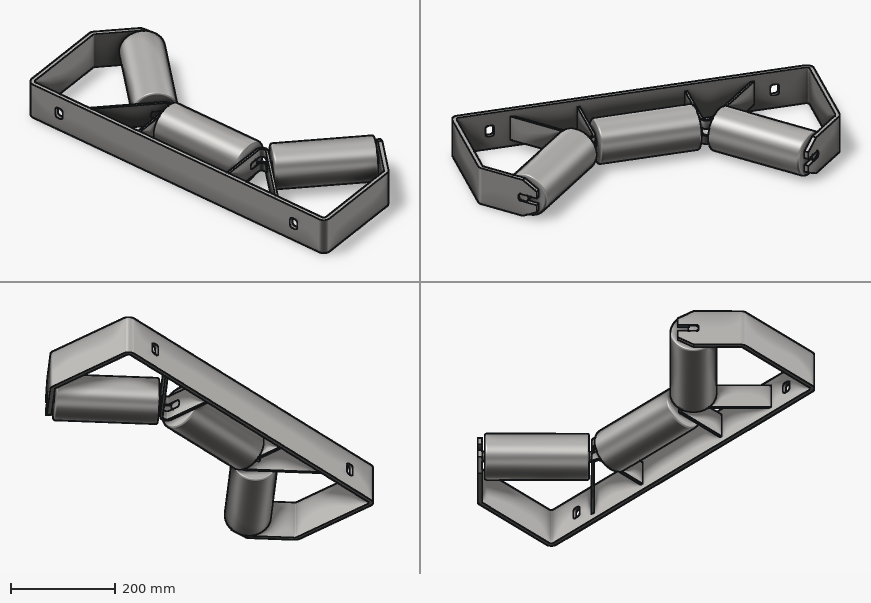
import cadquery as cq
import math


ROLLER_LENGTH = 200.0
ROLLER_DIAMETER = 89.0
ROLLER_EDGE_RADIUS = 4.0
SHAFT_DIAMETER = 20.0
FLAT_WIDTH = 15.0
ROLLER_GAP = 4.7
SHAFT_OVERHANG = 10.0
SLOT_REACH = 72.0
TILT = 45
LEVEL_ROLLER_Y = 101.0
SIDE_ROLLER_X = 212.0
SIDE_ROLLER_Y = 188.0

FRAME_LENGTH = 720.0
FRAME_DEPTH = 289.5
FRAME_WIDTH = 80.0
FRAME_THICKNESS = 9.0
FRAME_BEND_RADIUS = 14.5
TIP_CHAMFER_ALONG = 30.0
TIP_CHAMFER_ACROSS = 17.0

HOLE_LENGTH = 24.0
HOLE_WIDTH = 17.0
HOLE_CORNER_RADIUS = 6.0
HOLE_X = 284.0

BRACKET_WIDTH = 52.0
BRACKET_THICKNESS = 5.0
BRACKET_BEND_RADIUS = 13.0

PLATE_DISTANCE = ROLLER_LENGTH / 2 + ROLLER_GAP
SIN_TILT = math.sin(math.radians(TILT))
SIDE_ROLLER_RISE = SIDE_ROLLER_Y + SIDE_ROLLER_X
ARM_RISE = SIDE_ROLLER_RISE + (PLATE_DISTANCE + FRAME_THICKNESS) / SIN_TILT
BRACKET_RISE = SIDE_ROLLER_RISE - PLATE_DISTANCE / SIN_TILT


def mirrored(shape):
    """Copy of a left-hand shape on the right-hand side."""
    return shape.mirror("YZ")


def place_on_left(shape):
    """Move a shape from the origin, axis along X, to the left side roller."""
    return shape.rotate((0, 0, 0), (0, 0, 1), -TILT).translate((-SIDE_ROLLER_X, SIDE_ROLLER_Y, 0))


def place_level(shape):
    """Move a shape from the origin to the level roller."""
    return shape.translate((0, LEVEL_ROLLER_Y, 0))


def bent_strip(outline, bend_radius, thickness, width):
    """Closed ring of bent strip, centred on Z = 0, with its outer face on the outline."""
    block = cq.Workplane("XY").workplane(offset=-width / 2).polyline(outline).close().extrude(width)
    return block.edges("|Z").fillet(bend_radius).faces("|Z").shell(-thickness)


def shaft_bar(length):
    """Bar with the flatted shaft section, along X."""
    bar = cq.Workplane("YZ").cylinder(length, SHAFT_DIAMETER / 2)
    return bar.intersect(cq.Workplane("XY").box(length, SHAFT_DIAMETER, FLAT_WIDTH))


def make_roller():
    """Roller with its shaft, along X; the shaft ends are flatted where plates carry them."""
    barrel = cq.Workplane("YZ").cylinder(ROLLER_LENGTH, ROLLER_DIAMETER / 2)
    barrel = barrel.faces("<X or >X").edges().fillet(ROLLER_EDGE_RADIUS)
    round_shaft = cq.Workplane("YZ").cylinder(2 * PLATE_DISTANCE, SHAFT_DIAMETER / 2)
    return barrel.union(round_shaft).union(shaft_bar(ROLLER_LENGTH + 2 * SHAFT_OVERHANG))


def slot_cutter():
    """Shaft seat at both roller ends, open toward +Y."""
    length = 2 * (PLATE_DISTANCE + BRACKET_BEND_RADIUS)
    channel = cq.Workplane("XY").box(length, SLOT_REACH, FLAT_WIDTH, centered=(True, False, True))
    return shaft_bar(length).union(channel)


def make_strip_frame():
    """Base, uprights and arms, cut from a house-shaped ring whose roof is left open."""
    half = FRAME_LENGTH / 2
    eave = ARM_RISE - half
    house = [(-half, 0), (half, 0), (half, eave), (0, ARM_RISE), (-half, eave)]
    frame = bent_strip(house, FRAME_BEND_RADIUS, FRAME_THICKNESS, FRAME_WIDTH)

    tip_x = FRAME_DEPTH - ARM_RISE
    notch_y = FRAME_DEPTH + tip_x
    far_y = notch_y + FRAME_LENGTH
    opening = [(0, notch_y), (FRAME_LENGTH, far_y), (-FRAME_LENGTH, far_y)]
    frame = frame.cut(cq.Workplane("XY").polyline(opening).close().extrude(FRAME_WIDTH, both=True))

    tip_plane = cq.Plane(origin=(tip_x, FRAME_DEPTH, 0), xDir=(1, 1, 0), normal=(1, -1, 0))
    edge = FRAME_WIDTH / 2
    for side in (-1, 1):
        corner = [
            (0, side * edge),
            (-TIP_CHAMFER_ALONG, side * edge),
            (0, side * (edge - TIP_CHAMFER_ACROSS)),
        ]
        chamfer = cq.Workplane(tip_plane).polyline(corner).close().extrude(FRAME_THICKNESS)
        frame = frame.cut(chamfer).cut(mirrored(chamfer))

    holes = (
        cq.Workplane("XZ")
        .pushPoints([(-HOLE_X, 0), (HOLE_X, 0)])
        .rect(HOLE_WIDTH, HOLE_LENGTH)
        .extrude(-FRAME_THICKNESS)
        .edges("|Y")
        .fillet(HOLE_CORNER_RADIUS)
    )
    return frame.cut(holes)


def make_bracket():
    """Left bracket: a leg under the side roller bent into an upright leg at the level roller."""
    base_y = -FRAME_DEPTH
    upright_x = -PLATE_DISTANCE
    triangle = [
        (base_y - BRACKET_RISE, base_y),
        (upright_x, base_y),
        (upright_x, upright_x + BRACKET_RISE),
    ]
    bracket = bent_strip(triangle, BRACKET_BEND_RADIUS, BRACKET_THICKNESS, BRACKET_WIDTH)
    above_base = cq.Workplane("XY").box(FRAME_LENGTH, FRAME_DEPTH, FRAME_WIDTH, centered=(True, False, True))
    return bracket.intersect(above_base.translate((0, FRAME_THICKNESS, 0)))


def make_frame():
    """Welded frame: slotted strip and brackets, with the level roller fixed in it."""
    bracket = make_bracket()
    frame = make_strip_frame().union(bracket).union(mirrored(bracket))
    side_slots = place_on_left(slot_cutter())
    frame = frame.cut(side_slots).cut(mirrored(side_slots)).cut(place_level(slot_cutter()))
    return frame.union(place_level(make_roller()))


def make_side_rollers():
    """The two inclined rollers, left and right."""
    left = place_on_left(make_roller())
    return [left, mirrored(left)]


frame = make_frame()
side_rollers = make_side_rollers()
side_roller_solids = [roller.solids().val() for roller in side_rollers]
result = cq.Compound.makeCompound([frame.solids().val(), *side_roller_solids])